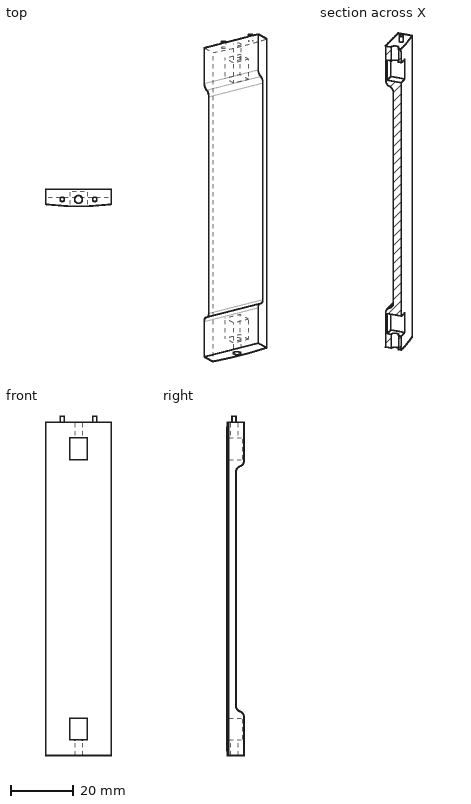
import cadquery as cq
import math

total_height = 108.8
width = 21.0
thickness = 5.5
crown_rise = 0.7
side_thickness = thickness - crown_rise

pin_diameter = 1.4
pin_length = 2.0
pin_spacing = 10.4
plate_height = total_height - pin_length
pin_axis_y = -3.3

recess_depth = 2.6
pad_height = 12.3
blend_radius = 2.0
blend_arc_depth = recess_depth / 2
blend_arc_height = math.sqrt(blend_radius**2 - (blend_radius - blend_arc_depth) ** 2)

window_width = 5.8
window_height = 7.0
window_end_margin = 5.0
window_back_wall = 0.7
end_hole_diameter = 2.5


def make_plate():
    """Crowned cross-section extruded along the plate."""
    return (
        cq.Workplane("XY")
        .moveTo(-width / 2, 0)
        .lineTo(-width / 2, -side_thickness)
        .threePointArc((0, -thickness), (width / 2, -side_thickness))
        .lineTo(width / 2, 0)
        .close()
        .extrude(plate_height)
    )


def make_back_recess():
    """Full-width recess whose ends are S-shaped blends of two equal arcs."""
    lower_end = pad_height
    upper_end = plate_height - pad_height
    return (
        cq.Workplane("YZ")
        .moveTo(0, lower_end)
        .radiusArc((-blend_arc_depth, lower_end + blend_arc_height), -blend_radius)
        .radiusArc((-recess_depth, lower_end + 2 * blend_arc_height), blend_radius)
        .lineTo(-recess_depth, upper_end - 2 * blend_arc_height)
        .radiusArc((-blend_arc_depth, upper_end - blend_arc_height), blend_radius)
        .radiusArc((0, upper_end), -blend_radius)
        .close()
        .extrude(width / 2, both=True)
    )


def make_window(bottom_z):
    """Rectangular pocket volume, open at the front."""
    depth = thickness - window_back_wall
    return (
        cq.Workplane("XY")
        .box(window_width, depth, window_height, centered=(True, False, False))
        .translate((0, -thickness, bottom_z))
    )


def make_rod(diameter, x, bottom_z, length):
    """Upright cylinder on the common pin and hole axis plane."""
    return cq.Workplane("XY", origin=(x, pin_axis_y, bottom_z)).circle(diameter / 2).extrude(length)


result = make_plate().cut(make_back_recess())

upper_window_top = plate_height - window_end_margin
for window_bottom in (window_end_margin, upper_window_top - window_height):
    result = result.cut(make_window(window_bottom))

for hole_bottom in (0, upper_window_top):
    result = result.cut(make_rod(end_hole_diameter, 0, hole_bottom, window_end_margin))

for pin_x in (-pin_spacing / 2, pin_spacing / 2):
    result = result.union(make_rod(pin_diameter, pin_x, plate_height, pin_length))